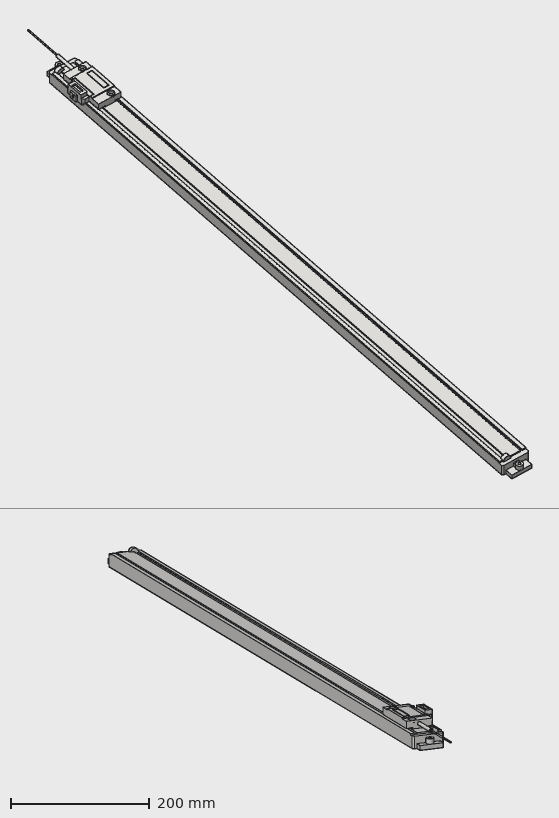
import cadquery as cq

LENGTH = 1150.0
WIDTH = 59.0
HEIGHT = 39.0
X_MIN = -LENGTH / 2
X_MAX = LENGTH / 2
Y_MIN = -WIDTH / 2
Z_MIN = -HEIGHT / 2
Z_MAX = HEIGHT / 2

RAIL_WIDTH = 50.0
RAIL_Y = 5.0
RAIL_TOP = 1.7
RAIL_X_MIN = -488.0
RAIL_X_MAX = 553.0
RAIL_CHAMFER = 1.0
GROOVE_DEPTH = 2.0
REAR_GROOVE_WIDTH = 3.0
REAR_GROOVE_Y = 21.0
FRONT_GROOVE_WIDTH = 7.0
FRONT_GROOVE_Y = -9.0

CAP_LENGTH = 8.0
CAP_DROP = 2.0
CAP_CHAMFER = 2.0
FOOT_WIDTH = 37.0
FOOT_X_MIN = -507.0
FOOT_HEIGHT = 7.5
BOSS_RADIUS = 6.0
BOSS_TOP = -4.0
BOSS_HOLE_RADIUS = 2.0
NECK_WIDTH = 9.0
NECK_TOP = -6.0
CLIP_LENGTH = 7.0
CLIP_OVERHANG = 2.0
CLIP_RADIUS = 7.0
CLIP_Y = -7.0
CLIP_RISE = 5.2

HEAD_X_MIN = -467.0
HEAD_X_MAX = -385.0
HEAD_Y_MIN = -15.0
HEAD_Y_MAX = 26.0
HEAD_TOP = 16.0
HEAD_BOTTOM = 3.0
LUG_LENGTH = 15.0
LUG_DROP = 1.7
HEAD_FOOT_WIDTH = 18.0
HEAD_FOOT_Y = 7.0
SCREW_HOLE_RADIUS = 2.9
SCREW_Y = 14.0
COUNTERBORE_RADIUS = 6.0
COUNTERBORE_DEPTH = 3.0
LABEL_LENGTH = 39.0
LABEL_WIDTH = 9.0
LABEL_Y = 16.0
LABEL_DEPTH = 1.0
SEAT_LENGTH = 44.0
SEAT_WIDTH = 7.0
SEAT_DEPTH = LUG_DROP

CONNECTOR_X = -427.0
CONNECTOR_TOP_LENGTH = 30.0
CONNECTOR_TOP_Y = -26.0
CONNECTOR_BODY_TOP = 13.0
SKIRT_LENGTH = 39.0
SKIRT_Y = -26.0
SKIRT_INNER_Y = -24.0
SKIRT_BOTTOM = 1.0
RECESS_LENGTH = 18.0
RECESS_WIDTH = 6.0
RECESS_DEPTH = 3.0
SKIRT_CHAMFER = 3.0
NUB_HOLE_RADIUS = 2.0
NUB_LENGTH = 14.0
NUB_TOP = 13.0

CABLE_Y = 6.0
CABLE_Z = 8.6
CABLE_RADIUS = 1.0
SLEEVE_X_MIN = -507.0
SLEEVE_RADIUS = 2.9


def block(x_min, x_max, y_min, y_max, z_min, z_max):
    """Rectangular block between two opposite corners."""
    size = (x_max - x_min, y_max - y_min, z_max - z_min)
    return cq.Workplane("XY").box(*size, centered=False).translate((x_min, y_min, z_min))


def centred_block(x_mid, length, y_mid, width, z_min, z_max):
    """Rectangular block centred on a point in plan."""
    return block(
        x_mid - length / 2, x_mid + length / 2, y_mid - width / 2, y_mid + width / 2, z_min, z_max
    )


def rod_along_x(x_min, x_max, y, z, radius):
    """Round rod parallel to X."""
    return cq.Workplane("YZ", origin=(x_min, y, z)).circle(radius).extrude(x_max - x_min)


def upright_cylinder(x, y, radius, z_min, z_max):
    """Round post parallel to Z."""
    return cq.Workplane("XY", origin=(x, y, z_min)).circle(radius).extrude(z_max - z_min)


def make_extrusion():
    """Rail bar with a chamfered front top edge and two grooves along its top."""
    length = RAIL_X_MAX - RAIL_X_MIN
    x_mid = (RAIL_X_MIN + RAIL_X_MAX) / 2
    bar = centred_block(x_mid, length, RAIL_Y, RAIL_WIDTH, Z_MIN, RAIL_TOP)
    bar = bar.faces(">Z").edges("<Y").chamfer(RAIL_CHAMFER)
    for y, width in ((REAR_GROOVE_Y, REAR_GROOVE_WIDTH), (FRONT_GROOVE_Y, FRONT_GROOVE_WIDTH)):
        bar = bar.cut(centred_block(x_mid, length, y, width, RAIL_TOP - GROOVE_DEPTH, RAIL_TOP))
    return bar


def make_end(rail_end, tip, outward):
    """Cap, mounting foot, drilled boss and rounded clip; outward is -1 or 1 along X."""
    cap_x = rail_end + outward * CAP_LENGTH / 2
    end = centred_block(cap_x, CAP_LENGTH, RAIL_Y, RAIL_WIDTH, Z_MIN, RAIL_TOP - CAP_DROP)
    outer_face = end.faces(">X" if outward > 0 else "<X")
    end = outer_face.edges("|Z").chamfer(CAP_CHAMFER)

    foot_length = abs(tip - rail_end)
    foot_x = (tip + rail_end) / 2
    end = end.union(
        centred_block(foot_x, foot_length, RAIL_Y, FOOT_WIDTH, Z_MIN, Z_MIN + FOOT_HEIGHT)
    )
    boss_x = tip - outward * BOSS_RADIUS
    neck_x = (rail_end + boss_x) / 2
    end = end.union(
        centred_block(neck_x, abs(boss_x - rail_end), RAIL_Y, NECK_WIDTH, Z_MIN, NECK_TOP)
    )
    end = end.union(upright_cylinder(boss_x, RAIL_Y, BOSS_RADIUS, Z_MIN, BOSS_TOP))
    end = end.cut(upright_cylinder(boss_x, RAIL_Y, BOSS_HOLE_RADIUS, Z_MIN, BOSS_TOP))

    clip_z = RAIL_TOP + CLIP_RISE - CLIP_RADIUS
    clip_outer = rail_end + outward * CLIP_OVERHANG
    clip_inner = clip_outer - outward * CLIP_LENGTH
    clip_start = min(clip_outer, clip_inner)
    return end.union(
        rod_along_x(clip_start, clip_start + CLIP_LENGTH, CLIP_Y, clip_z, CLIP_RADIUS)
    )


def make_rail():
    """Extrusion with both ends as one body."""
    rail = make_extrusion()
    rail = rail.union(make_end(RAIL_X_MIN, FOOT_X_MIN, -1))
    return rail.union(make_end(RAIL_X_MAX, X_MAX, 1))


def make_head_block():
    """Head block with a lowered, drilled lug at each end, a connector seat and a label recess."""
    x_mid = (HEAD_X_MIN + HEAD_X_MAX) / 2
    length = HEAD_X_MAX - HEAD_X_MIN
    lug_top = HEAD_TOP - LUG_DROP
    head = block(HEAD_X_MIN, HEAD_X_MAX, HEAD_Y_MIN, HEAD_Y_MAX, HEAD_BOTTOM, lug_top)
    plateau = block(
        HEAD_X_MIN + LUG_LENGTH, HEAD_X_MAX - LUG_LENGTH, HEAD_Y_MIN, HEAD_Y_MAX, lug_top, HEAD_TOP
    )
    foot = centred_block(x_mid, length, HEAD_FOOT_Y, HEAD_FOOT_WIDTH, RAIL_TOP, HEAD_BOTTOM)
    head = head.union(plateau).union(foot)
    for lug_x in (HEAD_X_MIN + LUG_LENGTH / 2, HEAD_X_MAX - LUG_LENGTH / 2):
        head = head.cut(upright_cylinder(lug_x, SCREW_Y, SCREW_HOLE_RADIUS, RAIL_TOP, lug_top))
        head = head.cut(
            upright_cylinder(lug_x, SCREW_Y, COUNTERBORE_RADIUS, lug_top - COUNTERBORE_DEPTH, lug_top)
        )
    seat_y = HEAD_Y_MIN + SEAT_WIDTH / 2
    head = head.cut(
        centred_block(CONNECTOR_X, SEAT_LENGTH, seat_y, SEAT_WIDTH, HEAD_TOP - SEAT_DEPTH, HEAD_TOP)
    )
    return head.cut(
        centred_block(x_mid, LABEL_LENGTH, LABEL_Y, LABEL_WIDTH, HEAD_TOP - LABEL_DEPTH, HEAD_TOP)
    )


def connector_step(length, y_min, z_min, z_max):
    """One block of the connector, reaching from the head out to y_min."""
    half = length / 2
    return block(CONNECTOR_X - half, CONNECTOR_X + half, y_min, HEAD_Y_MIN, z_min, z_max)


def make_connector():
    """Stepped connector: raised top, wider body, and a hanging skirt with a drilled nub."""
    body = connector_step(SKIRT_LENGTH, SKIRT_Y, HEAD_BOTTOM, CONNECTOR_BODY_TOP)
    skirt_width = SKIRT_INNER_Y - SKIRT_Y
    skirt_y = (SKIRT_INNER_Y + SKIRT_Y) / 2
    skirt = centred_block(CONNECTOR_X, SKIRT_LENGTH, skirt_y, skirt_width, SKIRT_BOTTOM, HEAD_BOTTOM)
    body = body.union(skirt)
    body = body.faces("<Y").edges("|Z").chamfer(SKIRT_CHAMFER)
    top = connector_step(CONNECTOR_TOP_LENGTH, CONNECTOR_TOP_Y, HEAD_BOTTOM, Z_MAX)
    recess_y = (HEAD_Y_MIN + CONNECTOR_TOP_Y) / 2
    top = top.cut(
        centred_block(
            CONNECTOR_X, RECESS_LENGTH, recess_y, RECESS_WIDTH, Z_MAX - RECESS_DEPTH, Z_MAX
        )
    )
    nub_depth = SKIRT_Y - Y_MIN
    nub_y = (SKIRT_Y + Y_MIN) / 2
    nub = centred_block(CONNECTOR_X, NUB_LENGTH, nub_y, nub_depth, SKIRT_BOTTOM, NUB_TOP)
    nub_z = (SKIRT_BOTTOM + NUB_TOP) / 2
    nub_hole = cq.Workplane("XZ", origin=(CONNECTOR_X, SKIRT_Y, nub_z)).circle(NUB_HOLE_RADIUS)
    nub = nub.cut(nub_hole.extrude(nub_depth))
    return body.union(top).union(nub)


def make_reading_head():
    """Head block, connector, sleeve and cable as one body."""
    head = make_head_block().union(make_connector())
    head = head.union(rod_along_x(SLEEVE_X_MIN, HEAD_X_MIN, CABLE_Y, CABLE_Z, SLEEVE_RADIUS))
    return head.union(rod_along_x(X_MIN, SLEEVE_X_MIN, CABLE_Y, CABLE_Z, CABLE_RADIUS))


rail = make_rail()
reading_head = make_reading_head()

result = cq.Compound.makeCompound([rail.val(), reading_head.val()])